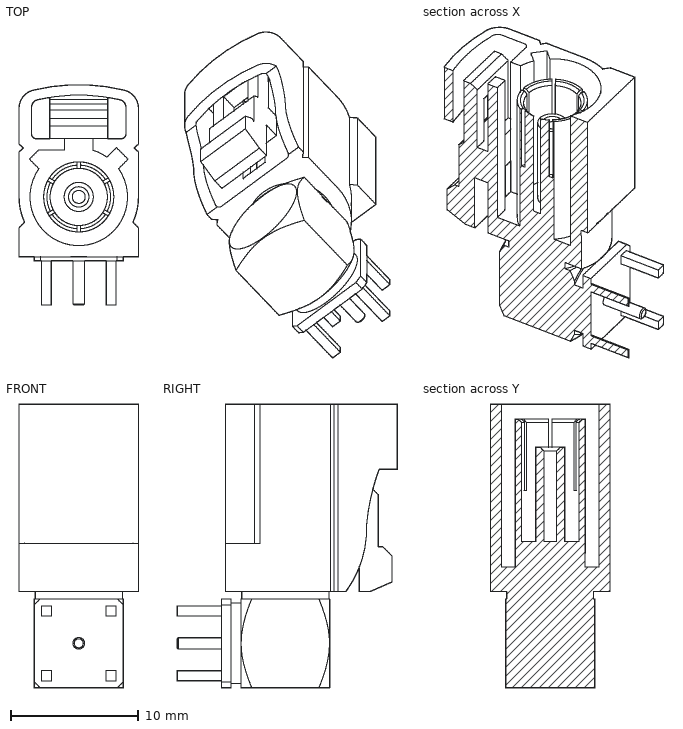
import cadquery as cq
import math


block_size = 7.0
block_chamfer_angle = 30.0
block_end_diameter = 6.9
neck_diameter = 6.88
collar_diameter = 6.35
collar_length = 0.75
plate_size = 7.0
plate_thickness = 0.77
plate_corner_chamfer = 0.48

pin_tip_y = -8.5
center_pin_diameter = 0.91
center_pin_chamfer = 0.1
ground_pin_size = 0.8
ground_pin_pitch = 5.08

housing_width = 9.4
housing_bottom = 4.06
overall_height = 22.29
housing_top = overall_height - plate_size / 2
housing_back = 8.82
half_width = housing_width / 2
back_arc_radius = 15.0
back_corner_radius = 1.5
front_block_bottom = 7.85
front_block_back = -2.43
front_block_lead = 0.5

groove_y = 3.84
groove_depth = 0.35
groove_half_height = 0.31

window_width = 7.4
window_front = 4.58
window_back = 8.0
window_front_radius = 0.35
window_back_radius = 0.6
window_arc_radius = 14.0

band_bottom = 13.67
sweep_top = (7.38, band_bottom)
sweep_upper = (6.75, 11.6)
sweep_middle = (6.38, 9.3)
sweep_lower = (5.86, 6.1)
sweep_bottom = (4.75, housing_bottom)

bore_diameter = 7.66
bore_floor = 6.0
center_key_width = 2.24
key_tip_radius = 4.83
key_width = 1.29
key_flat_y = 3.68

barrel_diameter = 5.51
barrel_rim_diameter = 5.0
barrel_bore_diameter = 4.5
barrel_top = 17.6
barrel_floor = 8.0
slit_width = 0.27
slit_bottom = 12.0
slit_count = 6

contact_diameter = 2.29
contact_top = 15.4
contact_mouth_diameter = 1.6
contact_bore_diameter = 1.02

latch_width = 4.57
latch_top = 18.2
latch_nose_z = 17.8
latch_nose_y = 5.55
latch_heel_y = 5.79
latch_tip_front = 6.17
latch_tip_back = 6.83
latch_back = 7.3
latch_step = 12.14
hook_top = 7.59
hook_ledge_y = 7.65
hook_back = 8.38
hook_heel_z = 4.81
hook_heel_y = 6.66
catch_window_width = 2.48
catch_window_top = 16.3
web_bottom = 9.0
web_top = latch_step


def cylinder_z(diameter, z_low, z_high):
    return cq.Workplane("XY").workplane(offset=z_low).circle(diameter / 2).extrude(z_high - z_low)


def cylinder_y(diameter, y_back, y_front):
    """Cylinder on the pin axis running from y_back toward -Y."""
    return cq.Workplane("XZ", origin=(0, y_back, 0)).circle(diameter / 2).extrude(y_back - y_front)


def arc_drop(radius, half_chord):
    return radius - math.sqrt(radius**2 - half_chord**2)


def crowned_outline(width, front, back, arc_radius, corner_radius, z_low, z_high):
    """Prism with straight sides, a crowned back and rounded back corners."""
    half = width / 2
    shoulder = back - arc_drop(arc_radius, half)
    return (
        cq.Workplane("XY").workplane(offset=z_low)
        .moveTo(-half, front)
        .lineTo(half, front)
        .lineTo(half, shoulder)
        .threePointArc((0, back), (-half, shoulder))
        .close()
        .extrude(z_high - z_low)
        .edges("|Z").edges(">Y").fillet(corner_radius)
    )


def make_elbow():
    half = block_size / 2
    block = cq.Workplane("XY").box(block_size, block_size, block_size)
    corner_radius = half * math.sqrt(2)
    end_radius = block_end_diameter / 2
    cone_length = (corner_radius - end_radius) * math.tan(math.radians(block_chamfer_angle))
    trim = (
        cq.Workplane("XY")
        .polyline([
            (0, -half),
            (end_radius, -half),
            (corner_radius, cone_length - half),
            (corner_radius, half - cone_length),
            (end_radius, half),
            (0, half),
        ])
        .close()
        .revolve(360, (0, 0, 0), (0, 1, 0))
    )
    neck = cylinder_z(neck_diameter, 0, housing_bottom)
    return block.intersect(trim).union(neck)


def make_base():
    collar_front = -block_size / 2 - collar_length
    plate_front = collar_front - plate_thickness
    pin_length = plate_front - pin_tip_y
    base = cylinder_y(collar_diameter, 0, collar_front)
    plate = (
        cq.Workplane("XZ", origin=(0, collar_front, 0))
        .rect(plate_size, plate_size).extrude(plate_thickness)
        .edges("|Y").chamfer(plate_corner_chamfer)
    )
    center_pin = (
        cylinder_y(center_pin_diameter, plate_front, pin_tip_y)
        .faces("<Y").chamfer(center_pin_chamfer)
    )
    ground_pins = (
        cq.Workplane("XZ", origin=(0, plate_front, 0))
        .rarray(ground_pin_pitch, ground_pin_pitch, 2, 2)
        .rect(ground_pin_size, ground_pin_size).extrude(pin_length)
    )
    return base.union(plate).union(center_pin).union(ground_pins)


def make_housing_body():
    """Shroud body: rounded at the front, with the crowned latch band at the back."""
    body = crowned_outline(
        housing_width, 0, housing_back, back_arc_radius, back_corner_radius, housing_bottom, housing_top)
    body = body.union(cylinder_z(housing_width, housing_bottom, housing_top))
    back_half = half_width - front_block_lead
    block_outline = [
        (-half_width, -half_width),
        (half_width, -half_width),
        (half_width, front_block_back),
        (back_half, front_block_back + front_block_lead),
        (-back_half, front_block_back + front_block_lead),
        (-half_width, front_block_back),
    ]
    front_block = (
        cq.Workplane("XY").workplane(offset=front_block_bottom)
        .polyline(block_outline).close().extrude(housing_top - front_block_bottom)
    )
    return body.union(front_block)


def make_side_grooves():
    groove = (
        cq.Workplane("XY").workplane(offset=housing_bottom)
        .polyline([
            (half_width, groove_y - groove_half_height),
            (half_width - groove_depth, groove_y),
            (half_width, groove_y + groove_half_height),
        ])
        .close()
        .extrude(housing_top - housing_bottom)
    )
    return groove.union(groove.mirror("YZ"))


def make_window():
    """Opening through the full height, in front of the crowned back band."""
    window = crowned_outline(
        window_width, window_front, window_back, window_arc_radius, window_back_radius,
        housing_bottom, housing_top)
    return window.edges("|Z").edges("<Y").fillet(window_front_radius)


def make_sweep_cut():
    """Space behind the S-shaped rear edge below the band."""
    return (
        cq.Workplane("YZ", origin=(-half_width, 0, 0))
        .moveTo(housing_back, band_bottom)
        .lineTo(*sweep_top)
        .threePointArc(sweep_upper, sweep_middle)
        .threePointArc(sweep_lower, sweep_bottom)
        .lineTo(housing_back, housing_bottom)
        .close()
        .extrude(housing_width)
    )


def make_bore():
    """Mating bore with one center keyway and two diagonal keyways."""
    depth = housing_top - bore_floor
    floor = cq.Workplane("XY").workplane(offset=bore_floor)
    bore = floor.circle(bore_diameter / 2).extrude(depth)
    center_key = floor.center(0, window_front / 2).rect(center_key_width, window_front).extrude(depth)
    bore = bore.union(center_key)
    right_key = (
        floor.center(key_tip_radius / 2, 0).rect(key_tip_radius, key_width).extrude(depth)
        .rotate((0, 0, 0), (0, 0, 1), 45)
    )
    tip_offset = key_tip_radius / math.sqrt(2)
    side_offset = key_width / 2 / math.sqrt(2)
    left_key = (
        floor.polyline([
            (0, 0),
            (-side_offset, -side_offset),
            (-tip_offset - side_offset, tip_offset - side_offset),
            (key_flat_y - 2 * tip_offset, key_flat_y),
            (0, key_flat_y),
        ])
        .close()
        .extrude(depth)
    )
    return bore.union(right_key).union(left_key)


def make_barrel():
    barrel = cylinder_z(barrel_diameter, bore_floor, barrel_top)
    barrel = barrel.cut(cylinder_z(barrel_bore_diameter, barrel_floor, barrel_top))
    lead_in = (barrel_rim_diameter - barrel_bore_diameter) / 2
    cone = (
        cq.Workplane("XY").workplane(offset=barrel_top - lead_in).circle(barrel_bore_diameter / 2)
        .workplane(offset=lead_in).circle(barrel_rim_diameter / 2).loft()
    )
    barrel = barrel.cut(cone)
    for index in range(slit_count):
        slit = (
            cq.Workplane("XY").workplane(offset=slit_bottom)
            .center(0, barrel_diameter / 2).rect(slit_width, barrel_diameter)
            .extrude(barrel_top - slit_bottom)
            .rotate((0, 0, 0), (0, 0, 1), index * 360 / slit_count)
        )
        barrel = barrel.cut(slit)
    return barrel


def make_contact():
    contact = cylinder_z(contact_diameter, barrel_floor, contact_top)
    contact = contact.cut(cylinder_z(contact_bore_diameter, barrel_floor, contact_top))
    mouth_depth = (contact_mouth_diameter - contact_bore_diameter) / 2
    mouth = (
        cq.Workplane("XY").workplane(offset=contact_top - mouth_depth).circle(contact_bore_diameter / 2)
        .workplane(offset=mouth_depth).circle(contact_mouth_diameter / 2).loft()
    )
    return contact.cut(mouth)


def make_latch():
    """Lever with a hooked lower end and a catch window, joined to the housing by a web."""
    step_depth = latch_back - latch_tip_back
    hook_chamfer = hook_back - hook_ledge_y
    lever_outline = [
        (latch_heel_y, housing_bottom),
        (hook_heel_y, housing_bottom),
        (hook_back, hook_heel_z),
        (hook_back, hook_top - hook_chamfer),
        (hook_ledge_y, hook_top),
        (latch_back, hook_top),
        (latch_back, latch_step - step_depth),
        (latch_tip_back, latch_step),
        (latch_tip_back, latch_top),
        (latch_tip_front, latch_top),
        (latch_nose_y, latch_nose_z),
        (latch_nose_y, web_top),
        (window_front, web_top),
        (window_front, web_bottom),
        (latch_heel_y, web_bottom),
    ]
    lever = (
        cq.Workplane("YZ", origin=(-latch_width / 2, 0, 0))
        .polyline(lever_outline).close().extrude(latch_width)
    )
    catch_window = cq.Workplane("XY").box(
        catch_window_width, latch_back - latch_nose_y, catch_window_top - web_top,
        centered=(True, False, False)).translate((0, latch_nose_y, web_top))
    return lever.cut(catch_window)


housing = make_housing_body()
housing = housing.cut(make_side_grooves())
housing = housing.cut(make_window())
housing = housing.cut(make_sweep_cut())
housing = housing.cut(make_bore())

result = housing.union(make_latch()).union(make_barrel()).union(make_contact())
result = result.union(make_elbow()).union(make_base())